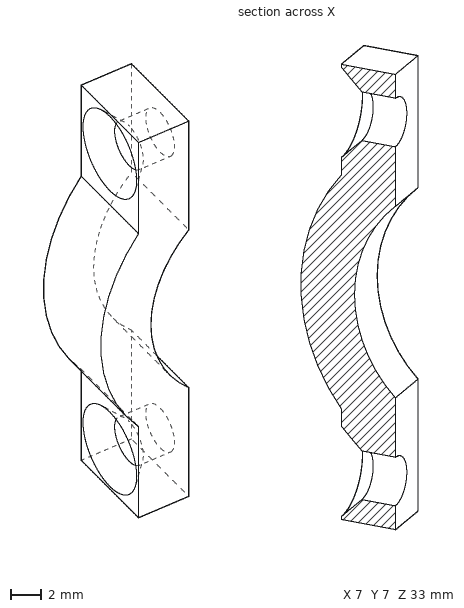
import cadquery as cq
import math

length = 33.0
width = 7.0
wall = 4.0
rise = 3.0
saddle_radius = 9.5
hole_diameter = 3.5
countersink_diameter = 6.55
countersink_angle = 90.0
hole_edge_distance = 3.5

outer_radius = saddle_radius + wall
axis_offset = saddle_radius - rise
inner_half_chord = math.sqrt(saddle_radius**2 - axis_offset**2)
outer_half_chord = math.sqrt(outer_radius**2 - (axis_offset + wall)**2)
half_length = length / 2
hole_height = half_length - hole_edge_distance

body = (
    cq.Workplane("YZ")
    .moveTo(0, -half_length)
    .lineTo(0, -inner_half_chord)
    .threePointArc((-rise, 0), (0, inner_half_chord))
    .lineTo(0, half_length)
    .lineTo(-wall, half_length)
    .lineTo(-wall, outer_half_chord)
    .threePointArc((-wall - rise, 0), (-wall, -outer_half_chord))
    .lineTo(-wall, -half_length)
    .close()
    .extrude(width / 2, both=True)
)

result = (
    body.copyWorkplane(cq.Workplane("XZ", origin=(0, -wall, 0)))
    .pushPoints([(0, -hole_height), (0, hole_height)])
    .cskHole(hole_diameter, countersink_diameter, countersink_angle)
)